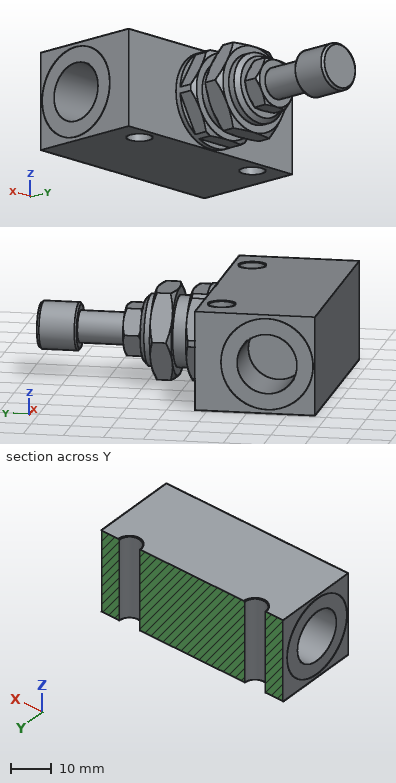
import cadquery as cq
import math


overall_depth = 74.1
body_length = 58.0
body_depth = 30.0
body_height = 25.0

port_diameter = 15.0
port_depth = 14.8
port_from_front = 12.0
spotface_diameter = 23.05
spotface_depth = 0.1

mount_spacing = 40.0
mount_inset = 5.0
mount_diameter = 6.5
mount_chamfer = 0.2
mount_chamfer_angle = 90.0

nut_flats = 22.0
nut_chamfer_angle = 30.0
collar_diameter = 24.5
collar_end = 1.4
collar_hex_end = 5.8
barrel_diameter = 17.9
barrel_end = 17.8
barrel_chamfer = 1.2
panel_nut_start = 9.4
panel_nut_end = 14.8
lock_nut_flats = 12.0
lock_nut_end = 22.45
stem_diameter = 8.1

knob_diameter = 12.0
knob_start = 34.15
knob_end = overall_depth - body_depth
knob_start_chamfer = 0.45
knob_end_chamfer = 0.7
knob_chamfer_width = 0.5


def disc(diameter, start, end):
    """Cylinder on the Y axis."""
    return cq.Workplane("XZ", origin=(0, start, 0)).circle(diameter / 2).extrude(start - end)


def chamfered_disc(diameter, start, end, chamfer_width, start_chamfer, end_chamfer):
    """Cylinder on the Y axis with sloped rims; the chamfer lengths run along Y."""
    outer = diameter / 2
    inner = outer - chamfer_width
    profile = cq.Workplane("XY").moveTo(0, start)
    if start_chamfer > 0:
        profile = profile.lineTo(inner, start)
    profile = (
        profile.lineTo(outer, start + start_chamfer)
        .lineTo(outer, end - end_chamfer)
        .lineTo(inner, end)
        .lineTo(0, end)
        .close()
    )
    return profile.revolve(axisStart=(0, 0, 0), axisEnd=(0, 1, 0))


def hexagon(flats, blank_diameter, start, end, chamfer_start=True):
    """Hexagon along Y with corners towards X, limited by a chamfered round blank."""
    prism = (
        cq.Workplane("XZ", origin=(0, start, 0))
        .polygon(6, across_corners(flats))
        .extrude(start - end)
    )
    width = (blank_diameter - flats) / 2
    drop = width * math.tan(math.radians(nut_chamfer_angle))
    start_drop = drop if chamfer_start else 0
    return prism.intersect(chamfered_disc(blank_diameter, start, end, width, start_drop, drop))


def across_corners(flats):
    return flats / math.cos(math.pi / 6)


def make_body():
    block = cq.Workplane("XY").box(body_length, body_depth, body_height)
    body = block.translate((0, -body_depth / 2, 0))
    port_y = port_from_front - body_depth
    for side in (-1, 1):
        end_face = cq.Workplane("YZ", origin=(side * body_length / 2, port_y, 0))
        body = body.cut(end_face.circle(spotface_diameter / 2).extrude(-side * spotface_depth))
        body = body.cut(end_face.circle(port_diameter / 2).extrude(-side * port_depth))
    return (
        body.faces(">Z")
        .workplane(origin=(0, -mount_inset, 0))
        .pushPoints([(-mount_spacing / 2, 0), (mount_spacing / 2, 0)])
        .cskHole(mount_diameter, mount_diameter + 2 * mount_chamfer, mount_chamfer_angle)
    )


def make_spindle():
    """Collar, barrel, nuts, stem and knob, from the body face outwards."""
    collar = disc(collar_diameter, 0, collar_end)
    collar_hex = hexagon(nut_flats, collar_diameter, collar_end, collar_hex_end, chamfer_start=False)
    barrel = disc(barrel_diameter, 0, barrel_end).faces(">Y").chamfer(barrel_chamfer)
    panel_nut = hexagon(nut_flats, across_corners(nut_flats), panel_nut_start, panel_nut_end)
    lock_nut = hexagon(lock_nut_flats, across_corners(lock_nut_flats), barrel_end, lock_nut_end)
    stem = disc(stem_diameter, lock_nut_end, knob_start)
    knob = chamfered_disc(
        knob_diameter, knob_start, knob_end, knob_chamfer_width, knob_start_chamfer, knob_end_chamfer
    )
    spindle = collar
    for piece in (collar_hex, barrel, panel_nut, lock_nut, stem, knob):
        spindle = spindle.union(piece)
    return spindle


result = make_body().union(make_spindle())